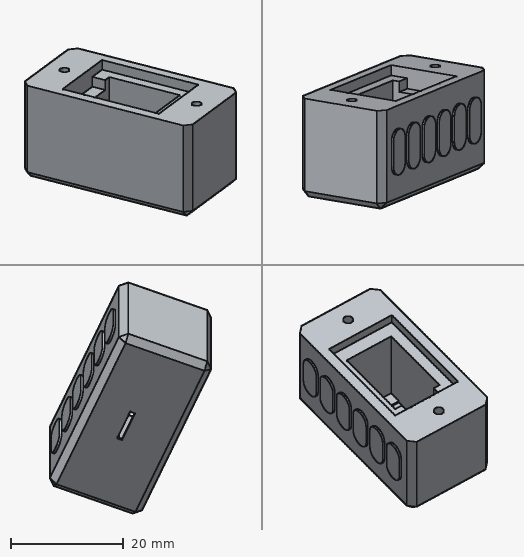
import cadquery as cq

BODY_LENGTH = 34.62
BODY_WIDTH = 17.73
BODY_HEIGHT = 18.3
EDGE_CHAMFER = 1.28
FLOOR_THICKNESS = 1.5

RECESS_LENGTH = 19.85
RECESS_WIDTH = 13.8
RECESS_DEPTH = 1.9
CAVITY_LENGTH = 14.55
CAVITY_FRONT_Y = -4.8
CAVITY_BACK_Y = 4.95
WALL_STEP_DEPTH = 0.1
WALL_STEP_HEIGHT = 1.5

NOTCH_WIDTH = 7.0
NOTCH_DEPTH = 1.95

POCKET_LENGTH = 9.83
POCKET_BACK_Y = 0.9
POCKET_STEP_Y = -0.7
SHALLOW_POCKET_DEPTH = 0.35
DEEP_POCKET_DEPTH = 1.05
SEAT_LENGTH = 6.02
SEAT_WIDTH = 2.63
SEAT_DEPTH = 0.7
SLOT_FRONT_Y = 0.38

HOLE_DIAMETER = 1.75
HOLE_SPACING = 27.2
HOLE_DEPTH = 6.92

BUTTON_COUNT = 6
BUTTON_PITCH = 5.0
BUTTON_WIDTH = 3.8
BUTTON_HEIGHT = 8.45
BUTTON_PROTRUSION = 0.4
BUTTON_CENTER_Z = 9.9

RECESS_FLOOR_Z = BODY_HEIGHT - RECESS_DEPTH


def block(x_range, y_range, z_range):
    """Box filling the given (low, high) range along each axis."""
    (x0, x1), (y0, y1), (z0, z1) = x_range, y_range, z_range
    return cq.Workplane("XY").box(x1 - x0, y1 - y0, z1 - z0, centered=False).translate((x0, y0, z0))


def centered_range(size):
    return (-size / 2, size / 2)


def make_body():
    """Block with chamfered upright and bottom edges."""
    body = cq.Workplane("XY").box(BODY_LENGTH, BODY_WIDTH, BODY_HEIGHT, centered=(True, True, False))
    return body.edges("|Z or <Z").chamfer(EDGE_CHAMFER)


def make_cavity():
    """Recess, side notch and deep cavity, with a small step low on the +Y wall."""
    recess = block(
        centered_range(RECESS_LENGTH), centered_range(RECESS_WIDTH), (RECESS_FLOOR_Z, BODY_HEIGHT)
    )
    cavity = block(
        centered_range(CAVITY_LENGTH), (CAVITY_FRONT_Y, CAVITY_BACK_Y), (FLOOR_THICKNESS, BODY_HEIGHT)
    )
    wall_step = block(
        centered_range(CAVITY_LENGTH),
        (CAVITY_BACK_Y - WALL_STEP_DEPTH, CAVITY_BACK_Y),
        (FLOOR_THICKNESS, FLOOR_THICKNESS + WALL_STEP_HEIGHT),
    )
    notch = block(
        (-RECESS_LENGTH / 2, -CAVITY_LENGTH / 2),
        centered_range(NOTCH_WIDTH),
        (RECESS_FLOOR_Z - NOTCH_DEPTH, BODY_HEIGHT),
    )
    return cavity.cut(wall_step).union(recess).union(notch)


def make_floor_cuts():
    """Pocket, seat and through slot cut into the cavity floor."""
    pocket_x = centered_range(POCKET_LENGTH)
    seat_x = centered_range(SEAT_LENGTH)

    def floor_cut(x_range, y_range, depth):
        return block(x_range, y_range, (FLOOR_THICKNESS - depth, FLOOR_THICKNESS))

    shallow = floor_cut(pocket_x, (CAVITY_FRONT_Y, POCKET_STEP_Y), SHALLOW_POCKET_DEPTH)
    deep = floor_cut(pocket_x, (POCKET_STEP_Y, POCKET_BACK_Y), DEEP_POCKET_DEPTH)
    seat = floor_cut(seat_x, centered_range(SEAT_WIDTH), SEAT_DEPTH)
    slot = floor_cut(seat_x, (SLOT_FRONT_Y, SEAT_WIDTH / 2), FLOOR_THICKNESS)
    return shallow.union(deep).union(seat).union(slot)


def make_screw_holes():
    """Pair of blind holes, one on each side of the recess."""
    return (
        cq.Workplane("XY", origin=(0, 0, BODY_HEIGHT))
        .rarray(HOLE_SPACING, 0.35, 2, 1)
        .circle(HOLE_DIAMETER / 2)
        .extrude(-HOLE_DEPTH)
    )


def make_buttons():
    """Row of upright slot-shaped pads standing out from the +Y face."""
    return (
        cq.Workplane("XZ", origin=(0, BODY_WIDTH / 2, BUTTON_CENTER_Z))
        .rarray(BUTTON_PITCH, 0.35, BUTTON_COUNT, 1)
        .slot2D(BUTTON_HEIGHT, BUTTON_WIDTH, angle=90)
        .extrude(-BUTTON_PROTRUSION)
    )


result = (
    make_body()
    .cut(make_cavity())
    .cut(make_floor_cuts())
    .cut(make_screw_holes())
    .union(make_buttons())
)